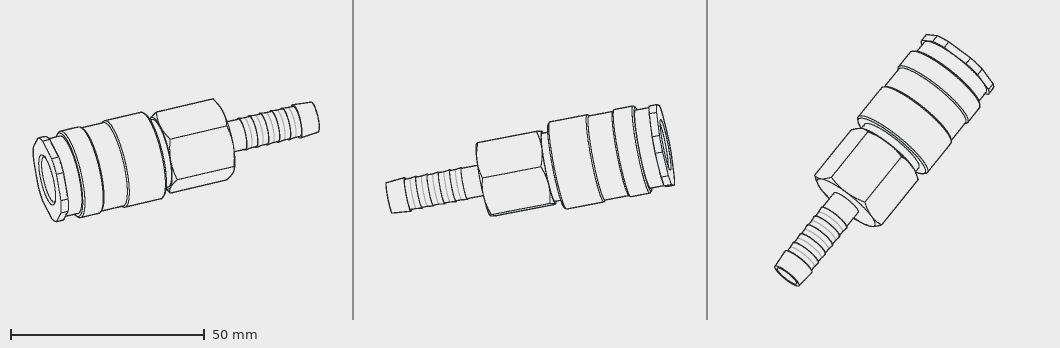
import cadquery as cq
import math

total_length = 73.0

flange_end = 2.0
front_ring_start = 5.9
front_ring_end = 11.75
rear_ring_start = 18.0
rear_ring_end = 28.75
hex_start = 30.9
hex_end = 48.0
first_barb = 53.15

flange_radius = 11.1
flange_across_flats = 21.0
front_neck_radius = 10.3
ring_radius = 11.5
ring_chamfer = 0.45
sleeve_radius = 11.1
rear_neck_radius = 9.0

hex_across_flats = 19.0
hex_chamfer_angle = 30.0

stem_radius = 4.0
barb_radius = 4.2
barb_count = 5
barb_pitch = 3.0
barb_taper_length = barb_pitch / 2
tip_start = first_barb + barb_count * barb_pitch
tip_radius = 4.45

socket_radius = 6.05
socket_depth = 24.8
socket_chamfer = 0.6
through_radius = 3.2


def cylinder(radius, start, end):
    """Cylinder on the Y axis between two stations."""
    return cq.Workplane("XZ", origin=(0, start, 0)).circle(radius).extrude(start - end)


def hexagon(across_flats, start, end):
    """Hexagonal prism on the Y axis, with flats facing +Z and -Z."""
    across_corners = across_flats / math.cos(math.pi / 6)
    plane = cq.Workplane("XZ", origin=(0, start, 0))
    return plane.polygon(6, across_corners).extrude(start - end)


def revolved(profile):
    """Turn a closed (radius, station) profile around the Y axis."""
    return cq.Workplane("XY").polyline(profile).close().revolve(360, (0, 0, 0), (0, 1, 0))


def grip_ring(start, end):
    return cylinder(ring_radius, start, end).edges("%CIRCLE").chamfer(ring_chamfer)


def socket_sleeve():
    flange = cylinder(flange_radius, 0, flange_end)
    flange = flange.intersect(hexagon(flange_across_flats, 0, flange_end))
    sleeve = flange.union(cylinder(front_neck_radius, flange_end, front_ring_start))
    sleeve = sleeve.union(grip_ring(front_ring_start, front_ring_end))
    middle_start = front_ring_end - ring_chamfer
    middle_end = rear_ring_start + ring_chamfer
    sleeve = sleeve.union(cylinder(sleeve_radius, middle_start, middle_end))
    sleeve = sleeve.union(grip_ring(rear_ring_start, rear_ring_end))
    return sleeve.union(cylinder(rear_neck_radius, rear_ring_end, hex_start))


def hex_body():
    """Hexagon whose corners are turned to a cone at both ends."""
    face_radius = hex_across_flats / 2
    corner_radius = face_radius / math.cos(math.pi / 6)
    chamfer_length = (corner_radius - face_radius) * math.tan(math.radians(hex_chamfer_angle))
    envelope = revolved([
        (0, hex_start),
        (face_radius, hex_start),
        (corner_radius, hex_start + chamfer_length),
        (corner_radius, hex_end - chamfer_length),
        (face_radius, hex_end),
        (0, hex_end),
    ])
    return hexagon(hex_across_flats, hex_start, hex_end).intersect(envelope)


def hose_tail():
    profile = [(0, hex_end), (stem_radius, hex_end)]
    for index in range(barb_count):
        barb = first_barb + index * barb_pitch
        profile.append((stem_radius, barb))
        profile.append((barb_radius, barb))
        profile.append((stem_radius, barb + barb_taper_length))
    profile += [
        (stem_radius, tip_start),
        (tip_radius, tip_start),
        (stem_radius, total_length),
        (0, total_length),
    ]
    return revolved(profile)


def bores():
    """Chamfered socket with a flat floor, and the passage through the hose tail."""
    socket = revolved([
        (0, 0),
        (socket_radius + socket_chamfer, 0),
        (socket_radius, socket_chamfer),
        (socket_radius, socket_depth),
        (0, socket_depth),
    ])
    return socket.union(cylinder(through_radius, 0, total_length))


result = socket_sleeve().union(hex_body()).union(hose_tail()).cut(bores())